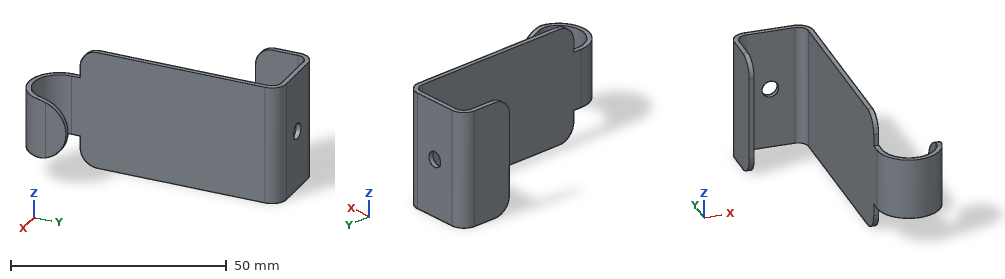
import cadquery as cq

length = 61.0
sheet = 1.2
height = 30.0
clip_width = 19.4
clip_leg = 14.6
bend_radius = 3.7
corner_radius = 4.5
plate_length = 51.0
hook_width = 15.55
hook_height = 15.1
hook_rise = 13.0
hole_diameter = 4.0

hook_radius = hook_width / 2
plate_inner_x = clip_width - sheet
hook_end_x = plate_inner_x + hook_width
hook_center_x = plate_inner_x + hook_radius
hook_center_y = hook_radius
shoulder_y = length - plate_length
leg_end_y = length - clip_leg
tip_radius = hook_height / 2


def bent_clip():
    """Short leg, back and plate of the clip, bent from one sheet."""
    outer = (
        cq.Workplane("XY")
        .rect(clip_width, plate_length)
        .extrude(height / 2, both=True)
        .translate((clip_width / 2, length - plate_length / 2, 0))
        .edges("|Z and >Y")
        .fillet(bend_radius)
    )
    inner = (
        cq.Workplane("XY")
        .rect(clip_width - 2 * sheet, plate_length)
        .extrude(height / 2, both=True)
        .translate((clip_width / 2, length - sheet - plate_length / 2, 0))
        .edges("|Z and >Y")
        .fillet(bend_radius - sheet)
    )
    below_leg = (
        cq.Workplane("XY")
        .rect(2 * sheet, leg_end_y - shoulder_y)
        .extrude(height / 2, both=True)
        .translate((0, (leg_end_y + shoulder_y) / 2, 0))
    )
    clip = outer.cut(inner).cut(below_leg)
    clip = clip.faces("<Y").edges("|X").fillet(corner_radius)
    leg_end = cq.selectors.BoxSelector(
        (-sheet, leg_end_y - sheet, -height),
        (2 * sheet, leg_end_y + sheet / 2, height),
    )
    return clip.edges(leg_end).edges("|X").fillet(corner_radius)


def hook():
    """J-shaped strip with a fully rounded tip."""
    strip = (
        cq.Workplane("XY")
        .moveTo(plate_inner_x, shoulder_y + sheet)
        .lineTo(plate_inner_x, hook_center_y)
        .threePointArc((hook_center_x, 0), (hook_end_x, hook_center_y))
        .lineTo(hook_end_x, hook_rise)
        .lineTo(hook_end_x - sheet, hook_rise)
        .lineTo(hook_end_x - sheet, hook_center_y)
        .threePointArc((hook_center_x, sheet), (clip_width, hook_center_y))
        .lineTo(clip_width, shoulder_y + sheet)
        .close()
        .extrude(hook_height / 2, both=True)
    )
    tip_center_y = hook_rise - tip_radius
    tip_waste = (
        cq.Workplane("YZ", origin=(hook_center_x, 0, 0))
        .moveTo(tip_center_y, -tip_radius)
        .threePointArc((hook_rise, 0), (tip_center_y, tip_radius))
        .lineTo(hook_rise + sheet, tip_radius)
        .lineTo(hook_rise + sheet, -tip_radius)
        .close()
        .extrude(hook_width)
    )
    return strip.cut(tip_waste)


def screw_hole():
    """Hole along Y through the middle of the clip back."""
    return (
        cq.Workplane("XZ", origin=(clip_width / 2, length, 0))
        .circle(hole_diameter / 2)
        .extrude(2 * sheet)
    )


result = bent_clip().union(hook()).cut(screw_hole())